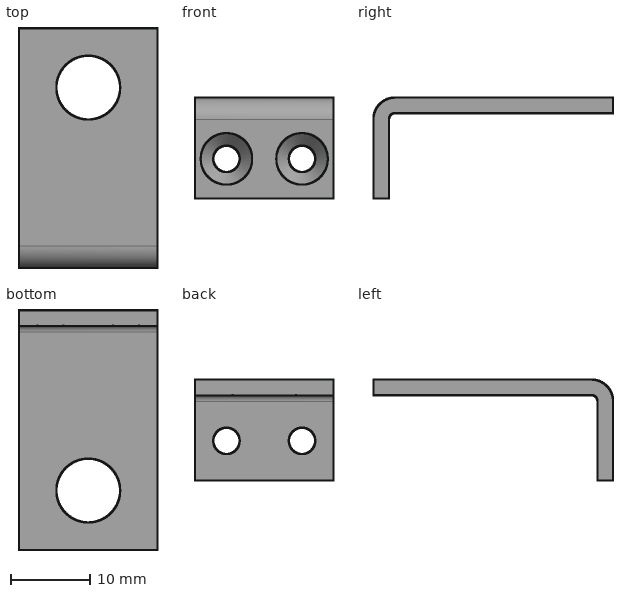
import cadquery as cq
import math

width = 17.5
length = 30.2
height = 12.75
thickness = 2.0

outer_bend_radius = 2.75
inner_bend_radius = outer_bend_radius - thickness

plate_hole_diameter = 8.0
plate_hole_from_back = 7.5

screw_hole_diameter = 3.3
countersink_diameter = 6.5
countersink_depth = 1.8
countersink_angle = 2 * math.degrees(
    math.atan((countersink_diameter - screw_hole_diameter) / 2 / countersink_depth)
)
screw_hole_spacing = 9.5
screw_hole_from_bottom = 5.0


def bent_sheet():
    """L-shaped sheet, centred on X, with its flange face at Y = 0 and bottom at Z = 0."""
    blank = (
        cq.Workplane("YZ")
        .polyline([
            (0, 0),
            (thickness, 0),
            (thickness, height - thickness),
            (length, height - thickness),
            (length, height),
            (0, height),
        ])
        .close()
        .extrude(width / 2, both=True)
    )
    outer_corner = cq.selectors.NearestToPointSelector((0, 0, height))
    inner_corner = cq.selectors.NearestToPointSelector((0, thickness, height - thickness))
    rounded = blank.edges(outer_corner).fillet(outer_bend_radius)
    return rounded.edges(inner_corner).fillet(inner_bend_radius)


def cut_plate_hole(body):
    """Cut the large round hole down through the plate."""
    cutter = (
        cq.Workplane("XY")
        .center(0, length - plate_hole_from_back)
        .circle(plate_hole_diameter / 2)
        .extrude(height)
    )
    return body.cut(cutter)


def cut_screw_holes(body):
    """Cut the screw holes, countersunk from the outer face of the flange."""
    return (
        body.faces("<Y")
        .workplane(origin=(0, 0, screw_hole_from_bottom))
        .rarray(screw_hole_spacing, 0.3, 2, 1)
        .cskHole(screw_hole_diameter, countersink_diameter, countersink_angle, depth=thickness)
    )


result = cut_screw_holes(cut_plate_hole(bent_sheet()))